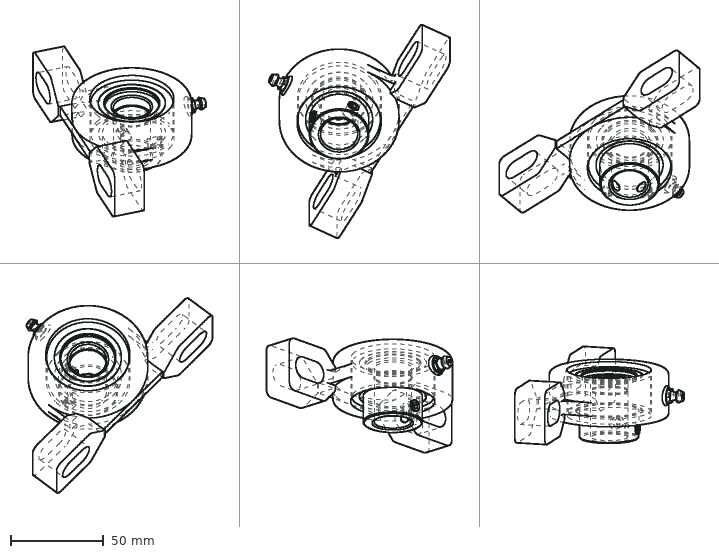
import cadquery as cq
import math


ring_radius = 32.3
ring_top = 15.5
ring_height = 25.0
ring_bottom = ring_top - ring_height
ring_top_fillet = 3.0
ring_bottom_fillet = 1.5
seat_radius = 22.7

half_length = 64.0
base_y = -33.3
foot_thickness = 17.0
foot_top_y = base_y + foot_thickness
foot_height = 29.8
foot_corner_fillet = 4.0
foot_tip_x = 24.0
base_web_height = 5.9
side_web_height = 7.4
side_web_fillet = 1.9
slot_center_x = 48.0
slot_length = 22.0
slot_width = 12.0

nipple_z = 3.3
boss_base_y = 31.1
boss_base_radius = 6.1
boss_top_y = 33.4
boss_top_radius = 4.6
hex_top_y = 35.3
hex_across_corners = 8.2
flare_radius = 3.1
neck_radius = 2.2
neck_middle_radius = 2.3
neck_middle_y = 36.6
head_start_y = 38.4
head_base_radius = 2.8
head_widest_y = 39.2
head_widest_radius = 3.5
head_end_y = 41.7
head_end_radius = 2.4
tip_radius = 0.8
tip_y = 42.2

bore_radius = 10.0
outer_ring_radius = 22.1
face_recess = 2.7
outer_ring_top = ring_top - face_recess
outer_ring_bottom = ring_bottom + face_recess
seal_radius = 18.0
seal_recess = 0.3
inner_ring_radius = 14.6
seal_edge_chamfer = 0.5
inner_ring_top = 10.4
bore_chamfer_width = 1.2
bore_chamfer_depth = 0.6
bore_groove_z = 4.4
bore_groove_depth = 0.4
collar_radius = 16.0
collar_bottom = -21.8
collar_chamfer = 0.6

screw_radius = 3.1
screw_z = -15.7
screw_end = 16.6
socket_across_flats = 3.2
socket_depth = 1.9
screw_angles = (90, 180)


def make_foot():
    """Foot on the +X side: a block tapered at 45 degrees towards the ring, with a slot along Y."""
    half_height = foot_height / 2
    half_tip = base_web_height / 2
    taper_x = foot_tip_x + half_height - half_tip
    foot = (
        cq.Workplane("XZ", origin=(0, foot_top_y, 0))
        .moveTo(foot_tip_x, half_tip)
        .lineTo(taper_x, half_height)
        .lineTo(half_length, half_height)
        .lineTo(half_length, -half_height)
        .lineTo(taper_x, -half_height)
        .lineTo(foot_tip_x, -half_tip)
        .close()
        .extrude(foot_thickness)
    )
    foot = foot.edges("|Y").edges(">Z or <Z").fillet(foot_corner_fillet)
    slot = (
        cq.Workplane("XZ", origin=(0, foot_top_y, 0))
        .center(slot_center_x, 0)
        .slot2D(slot_length, slot_width)
        .extrude(foot_thickness)
    )
    return foot.cut(slot)


def make_base_web():
    """Flat web joining the tips of the feet, level with the -Y side of the ring."""
    return (
        cq.Workplane("XZ", origin=(0, foot_top_y, 0))
        .rect(2 * foot_tip_x, base_web_height)
        .extrude(foot_top_y + ring_radius)
    )


def make_side_web():
    """Web tangent to the ring on the +X side, flared by a fillet where it meets the foot."""
    flare_x = ring_radius + side_web_fillet
    flare_y = foot_top_y + side_web_fillet
    arc_reach = side_web_fillet * (1 - math.sqrt(0.5))
    return (
        cq.Workplane("XY", origin=(0, 0, -side_web_height / 2))
        .moveTo(0, 0)
        .lineTo(ring_radius, 0)
        .lineTo(ring_radius, flare_y)
        .threePointArc((ring_radius + arc_reach, foot_top_y + arc_reach), (flare_x, foot_top_y))
        .lineTo(0, foot_top_y)
        .close()
        .extrude(side_web_height)
    )


def make_nipple():
    """Boss, hexagon and ball head turned about an axis parallel to Y."""
    turned = (
        cq.Workplane("XY")
        .moveTo(0, boss_base_y)
        .lineTo(boss_base_radius, boss_base_y)
        .lineTo(boss_top_radius, boss_top_y)
        .lineTo(flare_radius, boss_top_y)
        .lineTo(flare_radius, hex_top_y)
        .threePointArc((neck_middle_radius, neck_middle_y), (neck_radius, head_start_y))
        .lineTo(head_base_radius, head_start_y)
        .lineTo(head_widest_radius, head_widest_y)
        .lineTo(head_end_radius, head_end_y)
        .lineTo(tip_radius, head_end_y)
        .lineTo(tip_radius, tip_y)
        .lineTo(0, tip_y)
        .close()
        .revolve(360, (0, 0, 0), (0, 1, 0))
    )
    hexagon = (
        cq.Workplane("XZ", origin=(0, hex_top_y, 0))
        .polygon(6, hex_across_corners)
        .extrude(hex_top_y - boss_top_y)
    )
    return turned.union(hexagon).translate((0, 0, nipple_z))


def make_housing():
    ring = cq.Workplane("XY", origin=(0, 0, ring_bottom)).circle(ring_radius).extrude(ring_height)
    ring = ring.faces(">Z").edges().fillet(ring_top_fillet)
    ring = ring.faces("<Z").edges().fillet(ring_bottom_fillet)
    base_web = make_base_web()
    nipple = make_nipple()
    housing = ring.union(base_web).union(nipple)
    for part in (make_foot(), make_side_web()):
        housing = housing.union(part).union(part.mirror("YZ"))
    seat = cq.Workplane("XY", origin=(0, 0, ring_bottom)).circle(seat_radius).extrude(ring_height)
    return housing.cut(seat)


def make_screw(angle):
    """Set screw from the bore to just outside the collar, with a hexagon socket."""
    length = screw_end - bore_radius
    screw = cq.Workplane("YZ", origin=(bore_radius, 0, screw_z)).circle(screw_radius).extrude(length)
    socket = (
        cq.Workplane("YZ", origin=(screw_end - socket_depth, 0, screw_z))
        .transformed(rotate=(0, 0, 90))
        .polygon(6, socket_across_flats / math.cos(math.pi / 6))
        .extrude(socket_depth)
    )
    return screw.cut(socket).rotate((0, 0, 0), (0, 0, 1), angle)


def make_bearing():
    """Bearing insert and its locking collar, turned about Z, with round holes for the set screws."""
    seal_top = outer_ring_top - seal_recess
    seal_bottom = outer_ring_bottom + seal_recess
    profile = [
        (bore_radius, inner_ring_top - bore_chamfer_depth),
        (bore_radius + bore_chamfer_width, inner_ring_top),
        (inner_ring_radius, inner_ring_top),
        (inner_ring_radius, seal_top - seal_edge_chamfer),
        (inner_ring_radius + seal_edge_chamfer, seal_top),
        (seal_radius, seal_top),
        (seal_radius, outer_ring_top),
        (outer_ring_radius, outer_ring_top),
        (outer_ring_radius, outer_ring_bottom),
        (seal_radius, outer_ring_bottom),
        (seal_radius, seal_bottom),
        (collar_radius, seal_bottom),
        (collar_radius, collar_bottom + collar_chamfer),
        (collar_radius - collar_chamfer, collar_bottom),
        (bore_radius + bore_chamfer_width, collar_bottom),
        (bore_radius, collar_bottom + bore_chamfer_depth),
        (bore_radius, bore_groove_z - bore_groove_depth),
        (bore_radius + bore_groove_depth, bore_groove_z),
        (bore_radius, bore_groove_z + bore_groove_depth),
    ]
    bearing = cq.Workplane("XZ").polyline(profile).close().revolve(360, (0, 0, 0), (0, 1, 0))
    hole = (
        cq.Workplane("YZ", origin=(0, 0, screw_z))
        .circle(screw_radius)
        .extrude(screw_end)
    )
    for angle in screw_angles:
        bearing = bearing.cut(hole.rotate((0, 0, 0), (0, 0, 1), angle))
    return bearing


housing = make_housing()
bearing = make_bearing()
screws = [make_screw(angle) for angle in screw_angles]

result = cq.Compound.makeCompound([housing.val(), bearing.val(), *[screw.val() for screw in screws]])